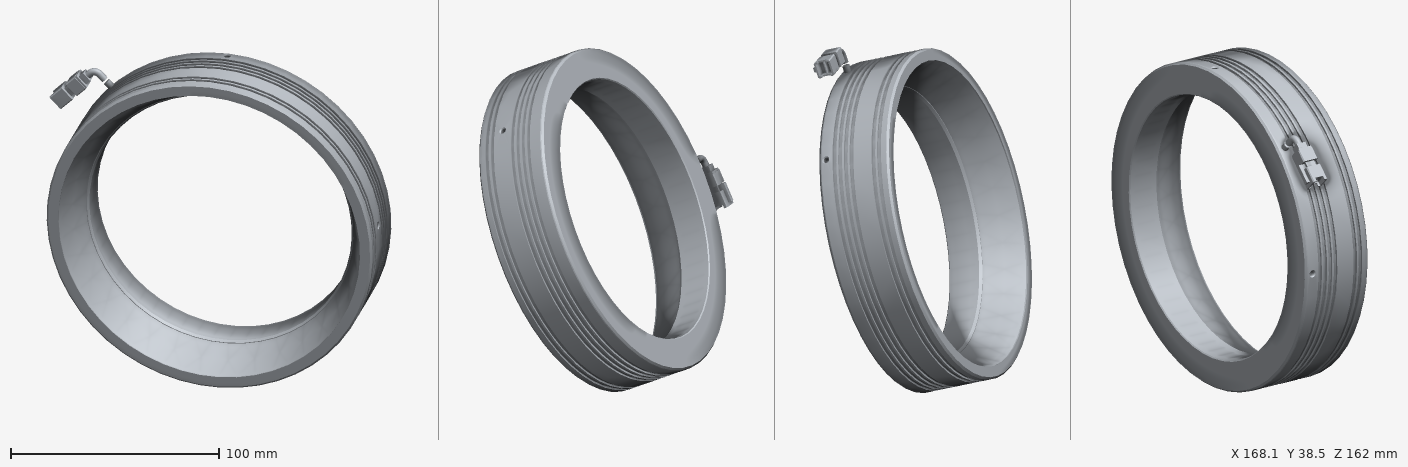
import cadquery as cq
import math

OVERALL_LENGTH = 168.1

RING_RADIUS = 81.0
RING_WIDTH = 37.0
RING_CHAMFER = 1.0
BACK_BEVEL_LENGTH = 1.5
BACK_BEVEL_DEPTH = 0.2
MOUTH_RADIUS = 75.0
MOUTH_LIP_LENGTH = 0.7
CONE_END_RADIUS = 66.4
BEVEL_START_RADIUS = 66.0
CONE_END_Y = 19.7
BORE_RADIUS = 65.2
BORE_START_Y = 21.0
BORE_BACK_CHAMFER = 0.5
GROOVE_DEPTH = 1.0
GROOVE_WIDTH = 2.0
RIB_WIDTH = 1.0
GROOVE_PITCH = GROOVE_WIDTH + RIB_WIDTH
FRONT_GROOVES_START = 3.9
FRONT_GROOVE_COUNT = 2
BACK_GROOVES_START = 18.5
BACK_GROOVE_COUNT = 4

PORT_RADIUS = 1.8
PORT_CHAMFER = 0.5
PORT_DEPTH = 3.4
PORT_DRILL_RADIUS = 0.8
PORT_DRILL_DEPTH = 5.9
CABLE_Y = 32.6
PORT_Y = 33.1
SIDE_PORT_Y = 13.6
SIDE_PORT_ANGLE = 7

CABLE_ANGLE = 135
CABLE_DIAMETER = 3.5
CABLE_RADIUS = CABLE_DIAMETER / 2
STUB_INSERTION = 3.4
STUB_SEAT_RADIUS = RING_RADIUS - STUB_INSERTION
STUB_END_RADIUS = 84.4
ELBOW_START_RADIUS = 85.7
BEND_RADIUS = 3.2
CONNECTOR_RADIUS = 92.6

BLOCK_SIZE = 8.0
BLOCK_THICKNESS = 8.4
FLANGE_SIZE = 7.5
BLOCK_CHAMFER = 0.5
NECK_SIZE = 5.0
NOSE_START = 4.9
SOCKET_START = 7.9
FLANGE_LENGTH = 1.0
SOCKET_END = 15.1
PLUG_START = 18.2
PLUG_END = (OVERALL_LENGTH - RING_RADIUS) * math.sqrt(2) - CONNECTOR_RADIUS - BLOCK_SIZE / 2
LATCH_WIDTH = 2.4
LATCH_START = 15.3
LATCH_LENGTH = 9.5
LATCH_BACK_Y = 38.5
NOTCH_WIDTH = 4.5
NOTCH_LENGTH = 1.8
CAVITY_DEPTH = 5.0
CAVITY_WALL = 0.8
CAVITY_THICKNESS = 6.7
BLADE_THICKNESS = 0.5

CLEARANCE = 1.7

angle = math.radians(CABLE_ANGLE)
cable_plane = cq.Plane(
    origin=(0, CABLE_Y, 0),
    xDir=(-math.sin(angle), 0, math.cos(angle)),
    normal=(0, 1, 0),
)


def port_cutter(direction, y):
    """A radial port entering the ring from outside: a conical mouth, a bore and a narrow drilling."""
    outer_point = cq.Vector(0, y, 0) + direction * (RING_RADIUS + CLEARANCE)
    mouth_plane = cq.Workplane(cq.Plane(origin=outer_point, normal=direction * -1))
    cone = (
        mouth_plane.circle(PORT_RADIUS + CLEARANCE)
        .workplane(offset=CLEARANCE + PORT_CHAMFER)
        .circle(PORT_RADIUS - PORT_CHAMFER)
        .loft()
    )
    bore = mouth_plane.circle(PORT_RADIUS - PORT_CHAMFER).extrude(CLEARANCE + PORT_DEPTH)
    drilling = mouth_plane.circle(PORT_DRILL_RADIUS).extrude(CLEARANCE + PORT_DRILL_DEPTH)
    return cone.union(bore).union(drilling)


def groove_cutter(y):
    """A ring-shaped cutter for one circumferential groove whose front wall is at y."""
    return (
        cq.Workplane("XZ", origin=(0, y, 0))
        .circle(RING_RADIUS + CLEARANCE)
        .circle(RING_RADIUS - GROOVE_DEPTH)
        .extrude(-GROOVE_WIDTH)
    )


def make_ring():
    """The grooved ring with its tapered mouth, its ports and the seat of the cable stub."""
    profile = [
        (MOUTH_RADIUS, 0),
        (RING_RADIUS - RING_CHAMFER, 0),
        (RING_RADIUS, RING_CHAMFER),
        (RING_RADIUS, RING_WIDTH - BACK_BEVEL_LENGTH),
        (RING_RADIUS - BACK_BEVEL_DEPTH, RING_WIDTH - RING_CHAMFER),
        (RING_RADIUS - RING_CHAMFER, RING_WIDTH),
        (BORE_RADIUS + BORE_BACK_CHAMFER, RING_WIDTH),
        (BORE_RADIUS, RING_WIDTH - BORE_BACK_CHAMFER),
        (BORE_RADIUS, BORE_START_Y),
        (BEVEL_START_RADIUS, CONE_END_Y),
        (CONE_END_RADIUS, CONE_END_Y),
        (MOUTH_RADIUS, MOUTH_LIP_LENGTH),
    ]
    ring = cq.Workplane("ZY").polyline(profile).close().revolve(360, (0, 0, 0), (0, 1, 0))
    for start, count in (
        (FRONT_GROOVES_START, FRONT_GROOVE_COUNT),
        (BACK_GROOVES_START, BACK_GROOVE_COUNT),
    ):
        for i in range(count):
            ring = ring.cut(groove_cutter(start + i * GROOVE_PITCH))
    side_angle = math.radians(SIDE_PORT_ANGLE)
    for direction, y in (
        (cq.Vector(0, 0, 1), PORT_Y),
        (cq.Vector(-1, 0, 0), PORT_Y),
        (cq.Vector(math.cos(side_angle), 0, math.sin(side_angle)), SIDE_PORT_Y),
    ):
        ring = ring.cut(port_cutter(direction, y))
    return ring.cut(make_stub())


def make_stub():
    """The short end of the cable that stands in a blind hole of the ring."""
    length = STUB_END_RADIUS - STUB_SEAT_RADIUS
    axis = cable_plane.yDir
    seat = cable_plane.origin + axis * STUB_SEAT_RADIUS
    return cq.Workplane(cq.Plane(origin=seat, normal=axis)).circle(CABLE_RADIUS).extrude(length)


def make_elbow():
    """The cable bent by 90 degrees between the ring and the connector."""
    bend_start = CONNECTOR_RADIUS - BEND_RADIUS
    path = (
        cq.Workplane(cable_plane)
        .moveTo(0, ELBOW_START_RADIUS)
        .lineTo(0, bend_start)
        .radiusArc((BEND_RADIUS, CONNECTOR_RADIUS), BEND_RADIUS)
        .lineTo(NOSE_START, CONNECTOR_RADIUS)
    )
    start = cable_plane.origin + cable_plane.yDir * ELBOW_START_RADIUS
    section = cq.Workplane(cq.Plane(origin=start, normal=cable_plane.yDir)).circle(CABLE_RADIUS)
    return section.sweep(path)


def connector_bar(start, end, width, thickness):
    """A rectangular bar along the connector axis: width is radial, thickness is along Y."""
    centre = cable_plane.toWorldCoords(((start + end) / 2, CONNECTOR_RADIUS, 0))
    plane = cq.Plane(origin=centre, xDir=cable_plane.xDir, normal=cable_plane.zDir)
    return cq.Workplane(plane).box(end - start, width, thickness)


def connector_block(start, end):
    """A bar of the full connector size with its long edges chamfered."""
    bar = connector_bar(start, end, BLOCK_SIZE, BLOCK_THICKNESS)
    tangent = cable_plane.xDir
    return bar.edges(cq.selectors.ParallelDirSelector(tangent)).chamfer(BLOCK_CHAMFER)


def make_socket():
    """The connector half on the cable: nose, flange and block."""
    nose = connector_bar(NOSE_START, SOCKET_START, NECK_SIZE, NECK_SIZE)
    flange = connector_bar(SOCKET_START, SOCKET_START + FLANGE_LENGTH, FLANGE_SIZE, FLANGE_SIZE)
    block = connector_block(SOCKET_START + FLANGE_LENGTH, SOCKET_END)
    return block.union(flange).union(nose)


def make_plug():
    """The outer connector half: neck, hollow block with notched mouth, and latch along its back."""
    neck = connector_bar(SOCKET_END, PLUG_START, NECK_SIZE, NECK_SIZE)
    plug = connector_block(PLUG_START, PLUG_END).union(neck)
    latch = (
        cq.Workplane(cable_plane)
        .workplane(offset=NECK_SIZE / 2)
        .center(LATCH_START + LATCH_LENGTH / 2, CONNECTOR_RADIUS)
        .rect(LATCH_LENGTH, LATCH_WIDTH)
        .extrude(LATCH_BACK_Y - CABLE_Y - NECK_SIZE / 2)
    )
    cavity = connector_bar(
        PLUG_END - CAVITY_DEPTH,
        PLUG_END,
        BLOCK_SIZE - 2 * CAVITY_WALL,
        CAVITY_THICKNESS,
    )
    blade = connector_bar(
        PLUG_END - CAVITY_DEPTH,
        PLUG_END - NOTCH_LENGTH,
        BLOCK_SIZE - 2 * CAVITY_WALL,
        BLADE_THICKNESS,
    )
    notches = connector_bar(PLUG_END - NOTCH_LENGTH, PLUG_END, BLOCK_SIZE, NOTCH_WIDTH)
    return plug.union(latch).cut(cavity).cut(notches).union(blade)


ring = make_ring()
cable_stub = make_stub()
cable_elbow = make_elbow()
socket = make_socket()
plug = make_plug()

result = cq.Compound.makeCompound(
    [ring.val(), cable_stub.val(), cable_elbow.val(), socket.val(), plug.val()]
)